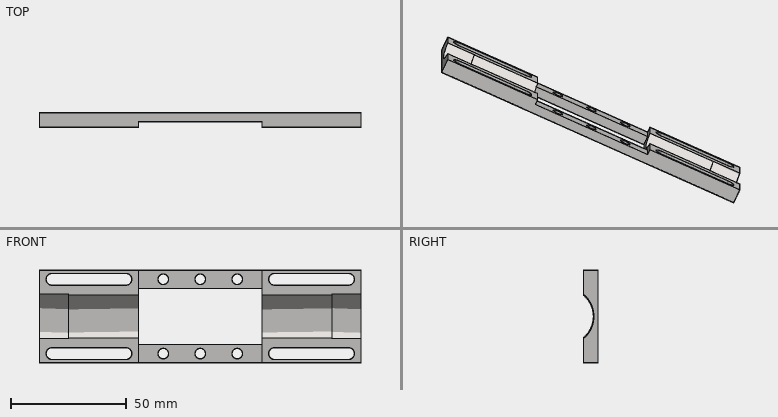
import cadquery as cq

length = 138.8
thickness = 6.4
height = 40.0

block_length = 42.8
rail_thickness = 4.0
window_height = 24.0
window_length = length - 2 * block_length

groove_axis_offset = 7.8
outer_groove_radius = 12.4
inner_groove_radius = 12.1
outer_groove_length = 12.6

row_spacing = 32.0
slot_length = 36.9
slot_width = 5.0
hole_diameter = 4.5
hole_pitch = 16.0
holes_per_row = 3

front_y = -thickness / 2
back_y = thickness / 2
block_spacing = length - block_length


def groove_cutter(cut_length, radius):
    """Round bar along X, centred on X, that scoops the groove from the front face."""
    return (
        cq.Workplane("YZ")
        .center(front_y - groove_axis_offset, 0)
        .circle(radius)
        .extrude(cut_length / 2, both=True)
    )


def make_plate():
    """Plate with its front relieved along the rails and the window cut through."""
    plate = cq.Workplane("XY").box(length, thickness, height)
    relief_depth = thickness - rail_thickness
    relief = (
        cq.Workplane("XY")
        .box(window_length, relief_depth, height)
        .translate((0, front_y + relief_depth / 2, 0))
    )
    window = cq.Workplane("XY").box(window_length, thickness, window_height)
    return plate.cut(relief).cut(window)


def cut_grooves(plate):
    """Full-length groove, enlarged over both outer ends."""
    plate = plate.cut(groove_cutter(length, inner_groove_radius))
    end_cutter = groove_cutter(outer_groove_length, outer_groove_radius)
    end_offset = (length - outer_groove_length) / 2
    for side in (-1, 1):
        plate = plate.cut(end_cutter.translate((side * end_offset, 0, 0)))
    return plate


def cut_slots_and_holes(plate):
    """Through slots in the blocks and through holes in the rails."""
    back = cq.Workplane("XZ", origin=(0, back_y, 0))
    slots = (
        back.rarray(block_spacing, row_spacing, 2, 2)
        .slot2D(slot_length, slot_width)
        .extrude(thickness)
    )
    holes = (
        back.rarray(hole_pitch, row_spacing, holes_per_row, 2)
        .circle(hole_diameter / 2)
        .extrude(thickness)
    )
    return plate.cut(slots).cut(holes)


result = cut_slots_and_holes(cut_grooves(make_plate()))